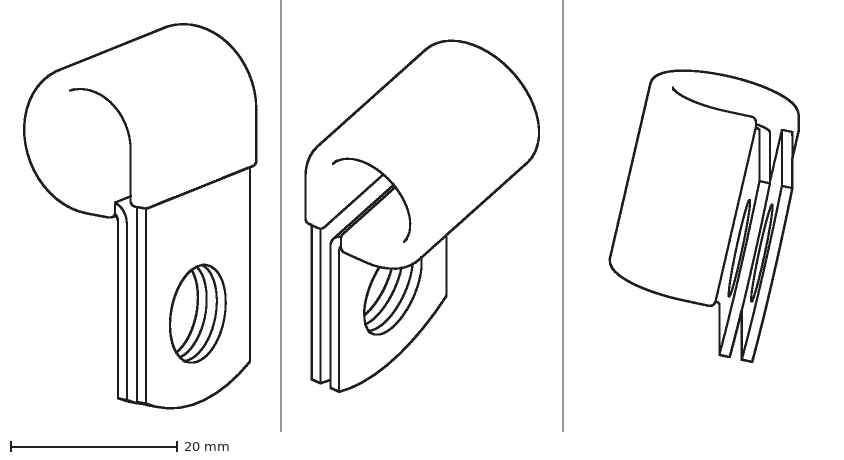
import cadquery as cq
import math

overall_height = 43.25
sleeve_width = 23.8
sleeve_outer_radius = 9.15
strap_thickness = 1.3
cushion_thickness = 0.757
edge_radius = 0.75
lower_leg_length = 3.9
side_leg_length = 7.2
bend_inner_radius = 1.1
bend_center_x = 3.25
hole_diameter = 11.9
hole_z = -22.98
end_arc_depth = 2.55

sleeve_thickness = strap_thickness + 2 * cushion_thickness
sleeve_inner_radius = sleeve_outer_radius - sleeve_thickness
strap_outer_radius = sleeve_outer_radius - cushion_thickness
strap_inner_radius = strap_outer_radius - strap_thickness
strap_width = sleeve_width - 2 * cushion_thickness
strap_bottom = sleeve_outer_radius - overall_height
bend_outer_radius = bend_inner_radius + strap_thickness
bend_center_z = -strap_inner_radius - bend_outer_radius
plate_outer_x = bend_center_x + bend_outer_radius
plate_inner_x = bend_center_x + bend_inner_radius


def extrude_centered(profile, width):
    """Extrude an XZ profile symmetrically about the Y = 0 plane."""
    return profile.extrude(width / 2, both=True)


def bend_point(radius):
    """Middle point of the quarter bend leading into the hanging plate."""
    offset = radius * math.sqrt(0.5)
    return bend_center_x + offset, bend_center_z + offset


def make_sleeve():
    """Rounded cushion: three-quarter loop with two straight legs."""
    diagonal = math.sqrt(0.5)
    outer_mid = (-sleeve_outer_radius * diagonal, sleeve_outer_radius * diagonal)
    inner_mid = (-sleeve_inner_radius * diagonal, sleeve_inner_radius * diagonal)
    profile = (
        cq.Workplane("XZ")
        .moveTo(lower_leg_length, -sleeve_outer_radius)
        .lineTo(0, -sleeve_outer_radius)
        .threePointArc(outer_mid, (sleeve_outer_radius, 0))
        .lineTo(sleeve_outer_radius, -side_leg_length)
        .lineTo(sleeve_inner_radius, -side_leg_length)
        .lineTo(sleeve_inner_radius, 0)
        .threePointArc(inner_mid, (0, -sleeve_inner_radius))
        .lineTo(lower_leg_length, -sleeve_inner_radius)
        .close()
    )
    body = extrude_centered(profile, sleeve_width)
    end_edges = body.faces("<Y or >Y").edges()
    lower_leg_edges = body.faces(cq.selectors.NearestToPointSelector(
        (lower_leg_length, 0, -sleeve_inner_radius - sleeve_thickness / 2))).edges("|Y")
    side_leg_edges = body.faces(cq.selectors.NearestToPointSelector(
        (sleeve_outer_radius - sleeve_thickness / 2, 0, -side_leg_length))).edges("|Y")
    return end_edges.add(lower_leg_edges).add(side_leg_edges).fillet(edge_radius)


def make_bent_plate():
    """Strap leaving the lower leg and bending down into the inner plate."""
    profile = (
        cq.Workplane("XZ")
        .moveTo(0, -strap_inner_radius)
        .lineTo(bend_center_x, -strap_inner_radius)
        .threePointArc(bend_point(bend_outer_radius), (plate_outer_x, bend_center_z))
        .lineTo(plate_outer_x, strap_bottom)
        .lineTo(plate_inner_x, strap_bottom)
        .lineTo(plate_inner_x, bend_center_z)
        .threePointArc(bend_point(bend_inner_radius), (bend_center_x, -strap_outer_radius))
        .lineTo(0, -strap_outer_radius)
        .close()
    )
    return extrude_centered(profile, strap_width)


def make_straight_plate():
    """Strap hanging straight down from the side leg."""
    profile = (
        cq.Workplane("XZ")
        .moveTo(strap_inner_radius, 0)
        .lineTo(strap_outer_radius, 0)
        .lineTo(strap_outer_radius, strap_bottom)
        .lineTo(strap_inner_radius, strap_bottom)
        .close()
    )
    return extrude_centered(profile, strap_width)


def make_plate_envelope():
    """Side outline of both plates: curved lower end and bolt hole."""
    half_width = strap_width / 2
    corner_z = strap_bottom + end_arc_depth
    return (
        cq.Workplane("YZ")
        .moveTo(-half_width, 0)
        .lineTo(-half_width, corner_z)
        .threePointArc((0, strap_bottom), (half_width, corner_z))
        .lineTo(half_width, 0)
        .close()
        .extrude(sleeve_outer_radius)
        .cut(
            cq.Workplane("YZ")
            .center(0, hole_z)
            .circle(hole_diameter / 2)
            .extrude(sleeve_outer_radius)
        )
    )


plates = make_bent_plate().union(make_straight_plate()).intersect(make_plate_envelope())
result = make_sleeve().union(plates)